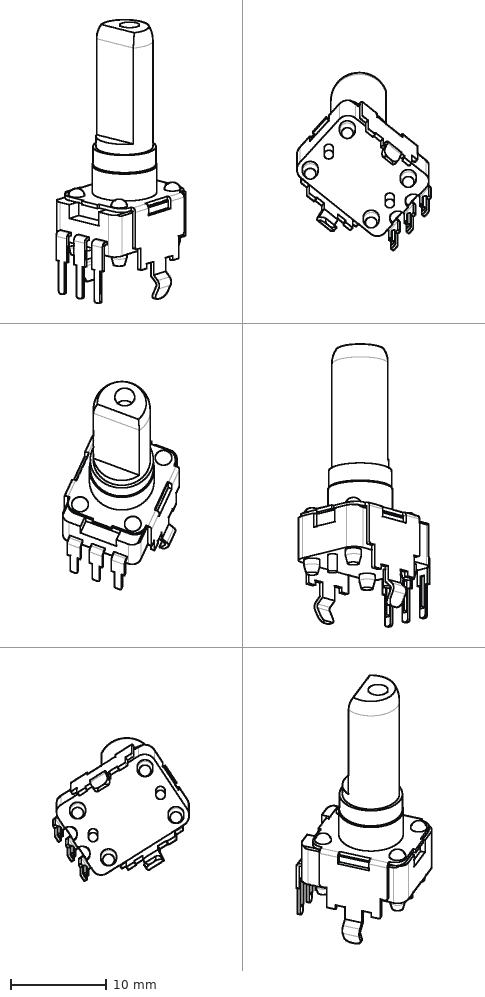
import cadquery as cq
import math


shaft_radius = 3.0
shaft_top = 18.1
flat_y = -1.5
flat_floor = 6.08
tip_height = 1.5
tip_inset = 0.43
bore_radius = 1.05
bore_y = 0.8
bore_depth = 2.88
bushing_radius = 3.4
bushing_height = 2.95
bushing_bevel = 0.15
collar_radius = 3.3
collar_top = 4.95

sheet = 0.4
cover_half_x = 4.35
cover_half_y = 5.2
cover_corner = 1.2
tab_half_x = 1.1
tab_reach = 5.5
slot_half_y = 1.75
slot_bottom = -1.25
slot_inner_x = 4.45

leg_half_y = 3.83
leg_shoulder_z = -4.52
leg_corner = 0.23
foot_outer_y = 3.02
foot_inner_y = 2.02
foot_z = -6.97
foot_corner = 0.15
foot_gap_z = -6.45
tail_half_y = 0.95
tail_z = -10.7
tail_corner = 0.75

leg_outer_x = 4.95
knee_z = -7.92
elbow_reach = 5.73
elbow_corner_x = 5.9
elbow_corner_z = -8.75
tail_tip_x = 4.92

body_half_x = 4.4
body_front = -6.4
body_back = 5.5
body_top = -sheet
body_bottom = -4.98
front_corner = 1.0
back_corner = 1.2
side_bevel_x = 0.15
side_bevel_z = 0.2
pocket_half_x = 2.05
pocket_depth = 1.5
pocket_floor = -1.9
notch_half_x = 1.53
notch_depth = 0.52
scallop_radius = 0.84
scallop_top = -4.52

rivet_x = 3.0
rivet_y = 4.2
rivet_sphere = 0.9
rivet_height = 0.7
peg_radius = 0.84
peg_straight_z = -5.6
peg_end_radius = 0.6
peg_end_z = -6.45
stud_radius = 0.5
stud_z = -6.8

pin_pitch = 2.5
pin_thickness = 0.32
pin_front = -7.15
pin_top = -3.4
pin_bend_radius = 0.5
pin_wide = 1.5
pin_narrow = 0.8
pin_step_z = -6.55
pin_tip_z = -10.1
pin_tip_corner = 0.3
rib_top_z = -5.55
rib_bottom_z = -9.07
rib_width = 0.58
rib_height = 0.2
rib_taper = 45


def box(x_range, y_range, z_range):
    lengths = [b - a for a, b in (x_range, y_range, z_range)]
    corner = (x_range[0], y_range[0], z_range[0])
    return cq.Workplane("XY").box(*lengths, centered=False).translate(corner)


def cylinder(radius, bottom, top, x=0, y=0):
    return cq.Workplane("XY", origin=(x, y, bottom)).circle(radius).extrude(top - bottom)


def make_shaft():
    shoulder_z = shaft_top - tip_height
    tip_arc = (tip_height**2 + tip_inset**2) / (2 * tip_inset)
    half_angle = math.asin(tip_height / tip_arc) / 2
    mid_inset = tip_arc * (1 - math.cos(half_angle))
    mid_z = shoulder_z + tip_arc * math.sin(half_angle)

    shaft = (
        cq.Workplane("XZ")
        .moveTo(0, 0)
        .lineTo(shaft_radius, 0)
        .lineTo(shaft_radius, shoulder_z)
        .threePointArc((shaft_radius - mid_inset, mid_z), (shaft_radius - tip_inset, shaft_top))
        .lineTo(0, shaft_top)
        .close()
        .revolve()
    )
    flat_cut = (
        cq.Workplane("YZ")
        .moveTo(flat_y, flat_floor)
        .lineTo(flat_y, shoulder_z)
        .threePointArc((flat_y + mid_inset, mid_z), (flat_y + tip_inset, shaft_top))
        .lineTo(-2 * shaft_radius, shaft_top)
        .lineTo(-2 * shaft_radius, flat_floor)
        .close()
        .extrude(shaft_radius, both=True)
    )
    bore = cylinder(bore_radius, shaft_top - bore_depth, shaft_top, y=bore_y)
    return shaft.cut(flat_cut).cut(bore)


def make_bushing():
    lower = cylinder(bushing_radius, -sheet, bushing_height + bushing_bevel)
    lower = lower.faces(">Z").chamfer(bushing_bevel, bushing_radius - collar_radius)
    return lower.union(cylinder(collar_radius, 0, collar_top))


def make_body():
    body = box((-body_half_x, body_half_x), (body_front, body_back), (body_bottom, body_top))
    body = body.edges("|Z and <Y").fillet(front_corner)
    body = body.edges("|Z and >Y").fillet(back_corner)

    for side in (-1, 1):
        bevel = (
            cq.Workplane("XZ", origin=(0, body_back, 0))
            .moveTo(side * (body_half_x - side_bevel_x), body_top)
            .lineTo(side * body_half_x, body_top)
            .lineTo(side * body_half_x, body_top - side_bevel_z)
            .close()
            .extrude(body_back - body_front)
        )
        body = body.cut(bevel)

    front_span = (body_front, body_front + pocket_depth)
    back_span = (body_back - notch_depth, body_back)
    body = body.cut(box((-pocket_half_x, pocket_half_x), front_span, (pocket_floor, body_top)))
    body = body.cut(box((-notch_half_x, notch_half_x), back_span, (pocket_floor, body_top)))

    for x in (-pin_pitch / 2, pin_pitch / 2):
        body = body.cut(cylinder(scallop_radius, body_bottom, scallop_top, x, body_front))
    return body


def make_cover():
    plate = (
        cq.Workplane("XY", origin=(0, 0, -sheet))
        .rect(2 * cover_half_x, 2 * cover_half_y)
        .extrude(sheet)
        .edges("|Z")
        .fillet(cover_corner)
    )
    tabs = box((-tab_half_x, tab_half_x), (-tab_reach, tab_reach), (-sheet, 0))
    return plate.union(tabs)


def inner_face(points):
    """Offset a bent line by the sheet thickness to its right, with mitred bends and square ends."""
    headings = [math.atan2(b[1] - a[1], b[0] - a[0]) for a, b in zip(points, points[1:])]
    arriving = headings[:1] + headings
    leaving = headings + headings[-1:]
    offset = []
    for (x, z), before, after in zip(points, arriving, leaving):
        middle = (before + after) / 2
        reach = sheet / math.cos((after - before) / 2)
        offset.append((x + reach * math.sin(middle), z - reach * math.cos(middle)))
    return offset


def leg_silhouette():
    """Side outline of a leg, extruded through the whole width of the part."""
    steps = (
        (leg_half_y, leg_shoulder_z, leg_corner),
        (foot_outer_y, foot_z, foot_corner),
        (tail_half_y, tail_z, tail_corner),
    )
    blocks = []
    for half_y, bottom, corner in steps:
        block = box((-elbow_reach, elbow_reach), (-half_y, half_y), (bottom, 0))
        blocks.append(block.edges("|X and <Z").fillet(corner))
    shoulders, feet, tail = blocks
    gap = box((-elbow_reach, elbow_reach), (-foot_inner_y, foot_inner_y), (foot_z, foot_gap_z))
    return shoulders.union(feet.cut(gap)).union(tail)


def make_right_leg():
    outer = [
        (cover_half_x - cover_corner, 0),
        (leg_outer_x, 0),
        (leg_outer_x, knee_z),
        (elbow_corner_x, elbow_corner_z),
        (tail_tip_x, tail_z),
    ]
    inner = inner_face(outer)
    strip = (
        cq.Workplane("XZ")
        .polyline(outer + inner[::-1])
        .close()
        .extrude(leg_half_y, both=True)
    )
    strip = strip.edges("|Y").edges(">Z").edges(">X").fillet(sheet)
    upper_angle = math.atan2(elbow_corner_x - leg_outer_x, knee_z - elbow_corner_z)
    lower_angle = math.atan2(elbow_corner_x - tail_tip_x, elbow_corner_z - tail_z)
    tangent_ratio = math.tan((upper_angle + lower_angle) / 2)
    rounding_loss = tangent_ratio * math.sin(upper_angle) + math.cos(upper_angle) - 1
    elbow_radius = (elbow_corner_x - elbow_reach) / rounding_loss
    for radius, (x, z) in ((elbow_radius, outer[3]), (elbow_radius - sheet, inner[3])):
        strip = strip.edges(cq.NearestToPointSelector((x, 0, z))).fillet(radius)
    slot = box((slot_inner_x, leg_outer_x), (-slot_half_y, slot_half_y), (slot_bottom, 0))
    return strip.intersect(leg_silhouette()).cut(slot)


def make_rivet(x, y):
    center_z = rivet_height - rivet_sphere
    ball = cq.Workplane("XY").sphere(rivet_sphere).translate((x, y, center_z))
    return ball.intersect(cylinder(rivet_sphere, -sheet, rivet_height, x, y))


def make_peg(x, y):
    return (
        cq.Workplane("XZ")
        .moveTo(0, body_bottom)
        .lineTo(peg_radius, body_bottom)
        .lineTo(peg_radius, peg_straight_z)
        .lineTo(peg_end_radius, peg_end_z)
        .lineTo(0, peg_end_z)
        .close()
        .revolve()
        .translate((x, y, 0))
    )


def make_pin(x):
    pin_back = pin_front + pin_thickness
    wide = (x - pin_wide / 2, x + pin_wide / 2)
    narrow = (x - pin_narrow / 2, x + pin_narrow / 2)

    arm = box(wide, (pin_front, body_front), (pin_top - pin_thickness, pin_top))
    blade = box(wide, (pin_front, pin_back), (pin_step_z, pin_top))
    upper = arm.union(blade).edges("|X and >Z and <Y").fillet(pin_bend_radius)
    inner_bend = cq.NearestToPointSelector((x, pin_back, pin_top - pin_thickness))
    upper = upper.edges(inner_bend).fillet(pin_bend_radius - pin_thickness)

    lower = box(narrow, (pin_front, pin_back), (pin_tip_z, pin_step_z))
    lower = lower.edges("|Y and <Z").fillet(pin_tip_corner)

    rib_middle_z = (rib_top_z + rib_bottom_z) / 2
    rib = (
        cq.Workplane("XZ", origin=(x, pin_back, rib_middle_z))
        .rect(rib_width, rib_top_z - rib_bottom_z)
        .extrude(-rib_height, taper=rib_taper)
    )
    return upper.union(lower).union(rib)


right_leg = make_right_leg()
result = make_body().union(make_cover()).union(right_leg).union(right_leg.mirror("YZ"))
result = result.union(make_bushing()).union(make_shaft())

for corner_x in (-rivet_x, rivet_x):
    for corner_y in (-rivet_y, rivet_y):
        result = result.union(make_rivet(corner_x, corner_y))
        result = result.union(make_peg(corner_x, corner_y))

for stud_y in (-rivet_y, rivet_y):
    result = result.union(cylinder(stud_radius, stud_z, body_bottom, y=stud_y))

for pin_x in (-pin_pitch, 0, pin_pitch):
    result = result.union(make_pin(pin_x))